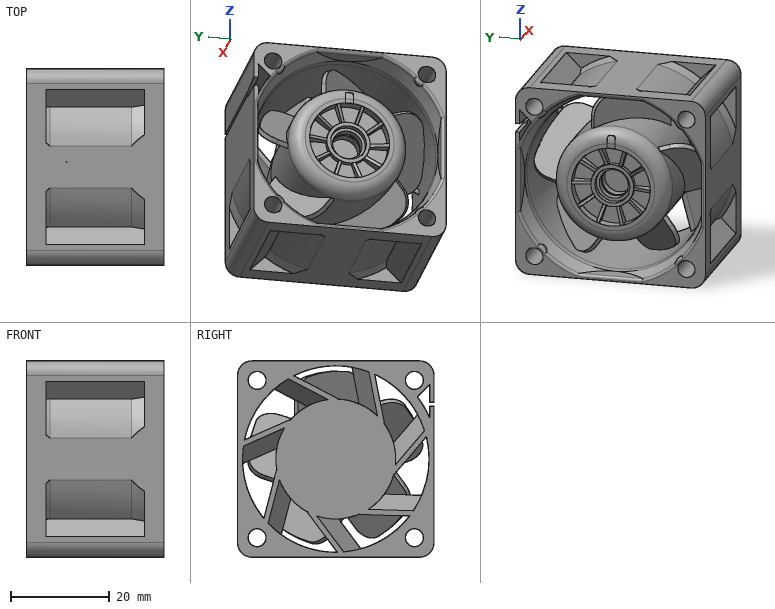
import cadquery as cq
import math


depth = 28.0
side = 40.0
half_side = side / 2
corner_radius = 3.0
screw_spacing = 32.0
screw_diameter = 3.6
screw_boss_radius = 2.7

duct_radius = 18.95
inlet_radius = 20.2
inlet_half_width = 19.05
inlet_rounding = 0.6
cone_end = 3.75
duct_start = 5.2

duct_wall_radius = 20.45
pocket_start = 4.0
pocket_end = 24.0
front_flare_end = 4.75
front_flare_radius = 20.6
rear_flare_start = 21.35
rear_flare_radius = 21.06
pocket_edge = 15.74

channel_wall_inside = 19.1
channel_top = 15.1
channel_bottom = 7.5
channel_inner_y = 16.0
channel_inner_radius = 20.9
wire_gap_bottom = 10.75
wire_gap_top = 11.55
wire_gap_step_depth = 6.0
wire_gap_front_bottom = 10.3
wire_gap_front_top = 12.1

vane_count = 7
vane_turn = 11.0
vane_front = 22.0
vane_front_offset = 6.8
vane_rear_offset = 11.1
vane_width = 1.1
vane_nose = 0.3
motor_base_front = 20.0

hub_radius = 12.2
hub_front = 0.4
hub_rear = motor_base_front
hub_face_radius = 9.25
hub_rounding = hub_radius - hub_face_radius
ring_inner_radius = 8.3
collar_radius = 4.5
hub_floor_depth = 2.2
collar_recess = 1.1
spoke_count = 10
spoke_high_edge = 0.05
spoke_low_edge = -0.6
spoke_drop = 0.15
first_spoke_angle = 180 / spoke_count
centre_step_radius = 3.7
centre_step_depth = 1.2
centre_hole_radius = 3.05
centre_hole_depth = 5.5
ring_groove_radius = 3.5
ring_groove_start = 2.9
ring_groove_end = 3.5
notch_width = 1.65
notch_tip = 10.9
notch_corner_radius = 0.5
notch_depth = 0.2

blade_count = 5
blade_tip_radius = 17.9
blade_front_y = 4.3
blade_rear_y = -8.4
blade_corner_radius = 4.2
blade_front = 3.3
blade_rear = 16.3
blade_thickness = 1.05


def disc(radius, start, end):
    return cq.Workplane("YZ", origin=(start, 0, 0)).circle(radius).extrude(end - start)


def revolved(profile):
    """Turn a profile of (x, radius) points about the fan axis."""
    return cq.Workplane("XY").polyline(profile).close().revolve(360, (0, 0, 0), (1, 0, 0))


def turned(shape, angle):
    """Rotate about the fan axis."""
    return shape.rotate((0, 0, 0), (1, 0, 0), angle)


def block_with_screw_holes():
    block = cq.Workplane("YZ").rect(side, side).extrude(depth).edges("|X").fillet(corner_radius)
    return (
        block.faces("<X").workplane(origin=(0, 0, 0))
        .rect(screw_spacing, screw_spacing, forConstruction=True)
        .vertices().hole(screw_diameter)
    )


def rounded_lip(profile, lip_radius):
    """Add a quarter-round front edge, flaring the opening to its full size at x = 0."""
    mid = inlet_rounding * (1 - math.sqrt(0.5))
    return (
        profile.moveTo(0, 0)
        .lineTo(0, lip_radius + inlet_rounding)
        .threePointArc((mid, lip_radius + mid), (inlet_rounding, lip_radius))
    )


def inlet_cone():
    return (
        rounded_lip(cq.Workplane("XY"), inlet_radius)
        .lineTo(cone_end, inlet_half_width)
        .lineTo(duct_start, duct_radius)
        .lineTo(duct_start, 0)
        .close().revolve(360, (0, 0, 0), (1, 0, 0))
    )


def inlet_flat():
    """Slab under one flat of the inlet, from the fan axis out."""
    return (
        rounded_lip(cq.Workplane("XZ", origin=(0, half_side, 0)), inlet_half_width)
        .lineTo(duct_start, inlet_half_width)
        .lineTo(duct_start, 0)
        .close().extrude(side)
    )


def screw_bosses():
    """Bosses around the screw holes, rounded off at the front face."""
    boss = (
        cq.Workplane("YZ").rect(screw_spacing, screw_spacing, forConstruction=True)
        .vertices().circle(screw_boss_radius).extrude(duct_start)
    )
    return boss.faces("<X").edges().fillet(inlet_rounding)


def inlet():
    """Rounded cone with four flats, leaving a boss beside each screw hole."""
    flats = inlet_flat().union(turned(inlet_flat(), 180))
    return inlet_cone().intersect(flats).intersect(turned(flats, 90)).cut(screw_bosses())


def side_pocket():
    """Pocket in the +Z side, on its +Y half, down to the duct wall."""
    diagonal_offset = half_side - pocket_edge
    wedge = (
        cq.Workplane("YZ", origin=(pocket_start, 0, 0))
        .polyline([(0, diagonal_offset), (pocket_edge, half_side), (0, half_side)]).close()
        .extrude(pocket_end - pocket_start)
    )
    duct_wall = revolved([
        (pocket_start, 0), (pocket_start, front_flare_radius), (front_flare_end, duct_wall_radius),
        (rear_flare_start, duct_wall_radius), (pocket_end, rear_flare_radius), (pocket_end, 0),
    ])
    return wedge.cut(duct_wall)


def wire_channel():
    """Full-length channel beside the duct, reached through a narrow gap in the +Y side."""
    channel = (
        cq.Workplane("YZ")
        .polyline([
            (channel_wall_inside, channel_top),
            (channel_wall_inside, channel_bottom),
            (channel_inner_y, channel_top - (channel_wall_inside - channel_inner_y)),
        ]).close().extrude(depth)
        .cut(disc(channel_inner_radius, 0, depth))
    )
    gap = (
        cq.Workplane("XZ", origin=(0, half_side, 0))
        .polyline([
            (0, wire_gap_front_bottom), (wire_gap_step_depth, wire_gap_front_bottom),
            (wire_gap_step_depth, wire_gap_bottom), (depth, wire_gap_bottom),
            (depth, wire_gap_top), (wire_gap_step_depth, wire_gap_top), (0, wire_gap_front_top),
        ]).close().extrude(half_side - channel_wall_inside)
    )
    return channel.union(gap)


def vane():
    """Slanted vane with a rounded nose, joining the motor base to the duct wall."""
    plate = (
        cq.Workplane("XY")
        .moveTo(vane_front, vane_front_offset)
        .threePointArc(
            (vane_front - vane_nose, vane_front_offset + vane_width / 2),
            (vane_front, vane_front_offset + vane_width),
        )
        .lineTo(depth, vane_rear_offset)
        .lineTo(depth, vane_rear_offset - vane_width)
        .close().extrude(half_side)
    )
    middle_radius = (duct_radius + duct_wall_radius) / 2
    return plate.intersect(disc(middle_radius, motor_base_front, depth))


def build_housing():
    body = block_with_screw_holes()
    body = body.cut(inlet()).cut(disc(duct_radius, duct_start, depth))
    pocket = side_pocket()
    mirrored_pocket = pocket.mirror("XZ")
    for quarter in range(4):
        body = body.cut(turned(pocket, 90 * quarter))
        if quarter != 3:
            body = body.cut(turned(mirrored_pocket, 90 * quarter))
    body = body.cut(wire_channel())
    body = body.union(disc(hub_radius, motor_base_front, depth))
    for i in range(vane_count):
        body = body.union(turned(vane(), vane_turn + 360 / vane_count * i))
    return body


def balance_notch():
    """Radial slot with rounded corners at its tip; the hub face sets the shape of its floor."""
    return (
        cq.Workplane("YZ", origin=(hub_front, 0, (ring_inner_radius + notch_tip) / 2))
        .rect(notch_width, notch_tip - ring_inner_radius).extrude(hub_rounding)
        .edges("|X and >Z").fillet(notch_corner_radius)
    )


def spoke():
    """Spoke falling from the front ring to the collar, its front leaning from one edge to the other."""
    back = hub_front + 2 * hub_floor_depth
    fall_angle = math.degrees(math.atan2(collar_recess, ring_inner_radius - collar_radius))
    bar = (
        cq.Workplane("XY")
        .polyline([
            (hub_front, spoke_high_edge), (hub_front + spoke_drop, spoke_low_edge),
            (back, spoke_low_edge), (back, spoke_high_edge),
        ]).close().extrude(hub_radius)
    )
    ring_point = (hub_front, 0, ring_inner_radius)
    return bar.rotate(ring_point, (hub_front, 1, ring_inner_radius), -fall_angle)


def hub():
    blank = disc(hub_radius, hub_front, hub_rear).faces("<X").edges().fillet(hub_rounding)
    body = blank.cut(balance_notch().cut(blank.translate((notch_depth, 0, 0))))

    floor = hub_front + hub_floor_depth
    collar_front = hub_front + collar_recess
    recess = disc(ring_inner_radius, hub_front, floor).cut(disc(collar_radius, collar_front, floor))
    for i in range(spoke_count):
        recess = recess.cut(turned(spoke(), first_spoke_angle + 360 / spoke_count * i))
    recess = recess.union(disc(collar_radius, hub_front, collar_front))
    body = body.cut(recess)

    for radius, start, end in (
        (centre_step_radius, 0, centre_step_depth),
        (ring_groove_radius, ring_groove_start, ring_groove_end),
        (centre_hole_radius, 0, centre_hole_depth),
    ):
        body = body.cut(disc(radius, collar_front + start, collar_front + end))
    return body


def blade():
    """Pitched flat blade at the top of the hub, its tip shaped to the duct and rounded at the corners."""
    run = blade_rear - blade_front
    drop = blade_front_y - blade_rear_y
    chord = math.hypot(run, drop)
    plane = cq.Plane(
        origin=(blade_front, blade_front_y, 0), xDir=(run, -drop, 0), normal=(-drop, -run, 0)
    )
    front_height = math.sqrt(blade_tip_radius**2 - blade_front_y**2)
    rear_height = math.sqrt(blade_tip_radius**2 - blade_rear_y**2)
    crown = chord * blade_front_y / drop
    root = ring_inner_radius
    return (
        cq.Workplane(plane)
        .moveTo(0, root)
        .lineTo(0, front_height)
        .threePointArc((crown, blade_tip_radius), (chord, rear_height))
        .lineTo(chord, root)
        .close().extrude(-blade_thickness)
        .edges(cq.selectors.PerpendicularDirSelector(cq.Vector(0, 0, 1)))
        .edges(">Z or >>Z[-2]").fillet(blade_corner_radius)
    )


def build_rotor():
    body = hub()
    for i in range(blade_count):
        body = body.union(turned(blade(), 360 / blade_count * i))
    return body


housing = build_housing()
rotor = build_rotor()
result = cq.Compound.makeCompound([housing.val(), rotor.val()])